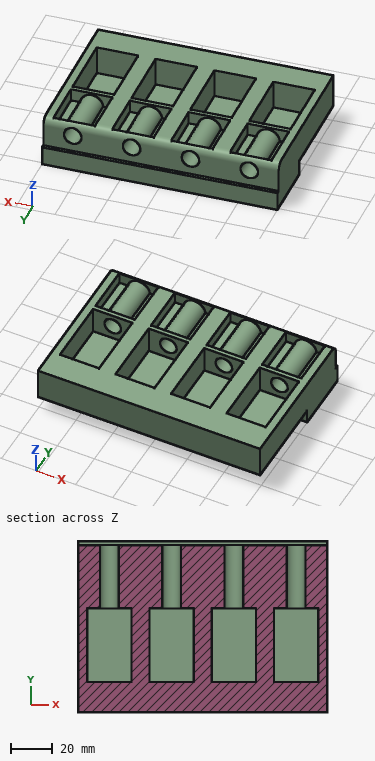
import cadquery as cq

length = 120.0
depth = 82.5
height = 25.5

foot_depth = 32.4
foot_height = 7.8
lip_depth = 1.9
lip_height = 9.8
back_edge_radius = 4.1

station_count = 4
station_pitch = 30.0
pocket_width = 21.1

front_margin = 14.8
front_pocket_length = 35.4
front_pocket_depth = 14.9
wall_thickness = 2.5
back_pocket_length = 25.5
back_pocket_depth = 6.5
tube_diameter = 11.8
bore_diameter = 8.9
tube_axis_depth = 7.0

back_face_y = depth - lip_depth
front_pocket_end = front_margin + front_pocket_length
back_pocket_start = front_pocket_end + wall_thickness
tube_axis_z = height - tube_axis_depth


def make_body():
    """Stepped block with a rounded upper back edge."""
    profile = (
        cq.Workplane("YZ")
        .moveTo(0, foot_height)
        .lineTo(depth - foot_depth, foot_height)
        .lineTo(depth - foot_depth, 0)
        .lineTo(depth, 0)
        .lineTo(depth, lip_height)
        .lineTo(back_face_y, lip_height)
        .lineTo(back_face_y, height - back_edge_radius)
        .radiusArc((back_face_y - back_edge_radius, height), -back_edge_radius)
        .lineTo(0, height)
        .close()
    )
    return profile.extrude(length / 2, both=True)


def make_pocket(center_x, start_y, pocket_length, pocket_depth):
    """Rectangular pocket volume, open at the top face."""
    return (
        cq.Workplane("XY")
        .box(pocket_width, pocket_length, pocket_depth, centered=(True, False, False))
        .translate((center_x, start_y, height - pocket_depth))
    )


def make_rod(center_x, diameter, start_y, end_y):
    """Cylinder along Y on the tube axis."""
    return (
        cq.Workplane("XZ", origin=(center_x, start_y, tube_axis_z))
        .circle(diameter / 2)
        .extrude(start_y - end_y)
    )


def add_station(body, center_x):
    """Cut both pockets, leave the tube across the back one and bore it through."""
    tube_end = back_pocket_start + back_pocket_length
    front_pocket = make_pocket(center_x, front_margin, front_pocket_length, front_pocket_depth)
    back_pocket = make_pocket(center_x, back_pocket_start, back_pocket_length, back_pocket_depth)
    tube = make_rod(center_x, tube_diameter, back_pocket_start, tube_end)
    bore = make_rod(center_x, bore_diameter, front_pocket_end, depth)
    return body.cut(front_pocket).cut(back_pocket.cut(tube)).cut(bore)


result = make_body()
for station in range(station_count):
    station_x = (station - (station_count - 1) / 2) * station_pitch
    result = add_station(result, station_x)